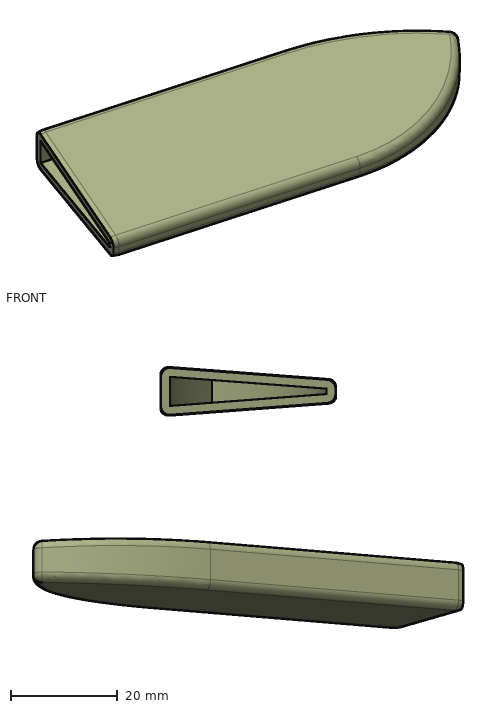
import cadquery as cq
import math

width = 33.0
length = 83.2
straight_length = 51.5
thick_side_height = 9.4
thin_side_height = 4.4
tip_margin = 8.3
wall = 1.8
edge_radius = 1.7
tip_radius = 1.8
thick_arc_radius = 62.4
thin_arc_radius = 33.45
mouth_step = 1.1
mouth_inset = 0.2

thick_half_height = thick_side_height / 2
face_slope = (thick_side_height - thin_side_height) / 2 / width


def half_height(x):
    """Half height of the sharp wedge at a given X."""
    return thick_half_height - face_slope * x


def arc_point(center_x, radius, x):
    """Point at X on a plan arc centred level with the end of the straight sides."""
    return (x, straight_length + math.sqrt(radius**2 - (x - center_x) ** 2))


def wedge(inset):
    """Sharp pointed wedge with every face except the open end moved inward by inset."""
    left = inset
    right = width - inset
    face_drop = inset * math.hypot(1, face_slope)
    left_z = half_height(left) - face_drop
    right_z = half_height(right) - face_drop
    section = (
        cq.Workplane("XZ")
        .polyline([(left, -left_z), (right, -right_z), (right, right_z), (left, left_z)])
        .close()
        .extrude(-(length + tip_margin))
    )

    left_radius = thick_arc_radius - inset
    right_radius = thin_arc_radius - inset
    left_center = thick_arc_radius
    right_center = width - thin_arc_radius
    span = left_center - right_center
    tip_x = right_center + (span**2 + right_radius**2 - left_radius**2) / (2 * span)
    tip = arc_point(left_center, left_radius, tip_x)
    plan = (
        cq.Workplane("XY", origin=(0, 0, -thick_half_height))
        .moveTo(left, 0)
        .lineTo(right, 0)
        .lineTo(right, straight_length)
        .threePointArc(arc_point(right_center, right_radius, (right + tip_x) / 2), tip)
        .threePointArc(
            arc_point(left_center, left_radius, (left + tip_x) / 2),
            (left, straight_length),
        )
        .close()
        .extrude(2 * thick_half_height)
    )
    return section.intersect(plan)


body = wedge(0)
body = body.edges("|Z").edges(">Y").fillet(tip_radius)
rim = body.faces(">Z or <Z").edges().edges("not <Y")
body = rim.fillet(edge_radius)

mouth = body.faces("<Y").edges()
body = mouth.chamfer(mouth_step, mouth_inset)
result = body.cut(wedge(wall))